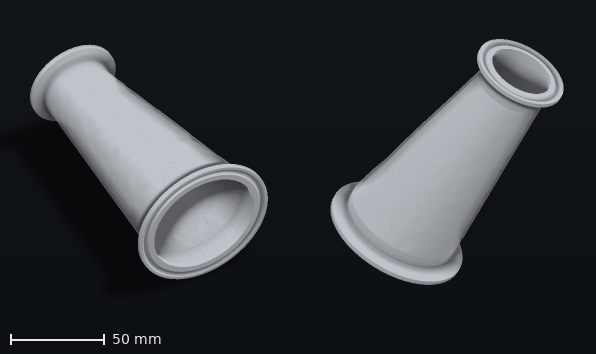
import cadquery as cq
import math

overall_length = 127.0
ferrule_length = 12.7
wall = 1.7

small_tube_radius = 19.0
small_rim_radius = 50.4 / 2
large_tube_radius = 31.8
large_rim_radius = 77.3 / 2

small_axis_y = small_tube_radius - large_tube_radius

rim_thickness = 2.8
clamp_angle = math.radians(20)
rim_edge_radius = 0.4
neck_fillet_radius = 1.5

groove_inset = 3.5
groove_half_width = 1.5
groove_depth = 1.4
groove_edge_radius = 0.5


def ferrule(tube_radius, rim_radius):
    """Ferrule along +X with its flange face at X = 0 and its axis on the X axis."""
    bore_radius = tube_radius - wall
    clamp_end = rim_thickness + (rim_radius - tube_radius) * math.tan(clamp_angle)
    groove_radius = rim_radius - groove_inset
    body = (
        cq.Workplane("XY")
        .moveTo(0, bore_radius)
        .lineTo(0, groove_radius - groove_half_width)
        .threePointArc((groove_depth, groove_radius), (0, groove_radius + groove_half_width))
        .lineTo(0, rim_radius)
        .lineTo(rim_thickness, rim_radius)
        .lineTo(clamp_end, tube_radius)
        .lineTo(ferrule_length, tube_radius)
        .lineTo(ferrule_length, bore_radius)
        .close()
        .revolve(360, (0, 0, 0), (1, 0, 0))
    )
    body = round_circle(body, 0, rim_radius, rim_edge_radius)
    body = round_circle(body, rim_thickness, rim_radius, rim_edge_radius)
    body = round_circle(body, clamp_end, tube_radius, neck_fillet_radius)
    for side in (-1, 1):
        body = round_circle(body, 0, groove_radius + side * groove_half_width, groove_edge_radius)
    return body


def round_circle(body, x, radius, fillet_radius):
    """Fillet the circular edge of the given radius that lies at the given X."""
    margin = 0.06
    outer = cq.selectors.BoxSelector(
        (x - margin, -radius - margin, -radius - margin),
        (x + margin, radius + margin, radius + margin),
        boundingbox=True,
    )
    inner = cq.selectors.BoxSelector(
        (x - margin, -radius + margin, -radius + margin),
        (x + margin, radius - margin, radius - margin),
        boundingbox=True,
    )
    return body.edges(outer - inner).fillet(fillet_radius)


def oblique_cone(inset):
    """Solid between the two tube ends, with both end radii reduced by the inset."""
    return (
        cq.Workplane("YZ", origin=(ferrule_length, 0, 0))
        .center(small_axis_y, 0)
        .circle(small_tube_radius - inset)
        .workplane(offset=overall_length - 2 * ferrule_length)
        .center(-small_axis_y, 0)
        .circle(large_tube_radius - inset)
        .loft(ruled=True)
    )


small_ferrule = ferrule(small_tube_radius, small_rim_radius).translate((0, small_axis_y, 0))
large_ferrule = ferrule(large_tube_radius, large_rim_radius).mirror("YZ").translate((overall_length, 0, 0))
reducer_cone = oblique_cone(0).cut(oblique_cone(wall))

result = small_ferrule.union(reducer_cone).union(large_ferrule)